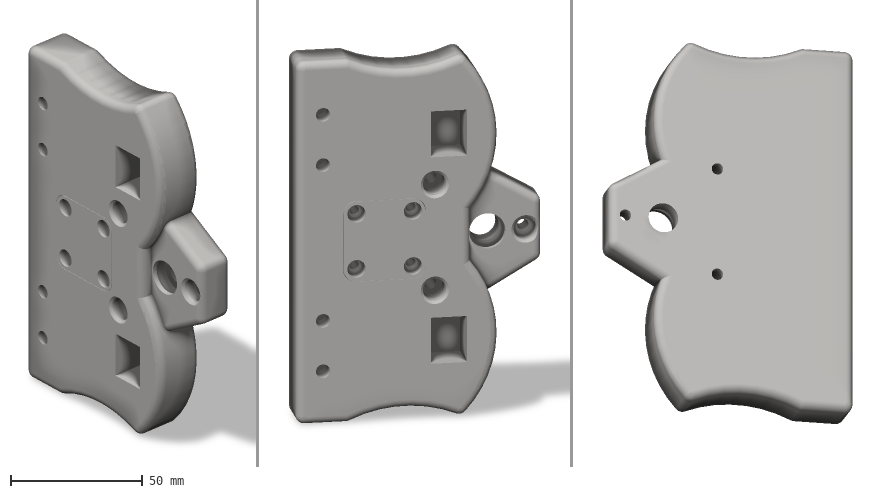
import cadquery as cq
import math


length = 144.0
half_length = length / 2
thickness = 20.0
edge_radius = 3.0
corner_radius = 3.2
straight_end_x = 20.0
corner_x = 64.0
scallop_x = (straight_end_x + corner_x) / 2
scallop_depth = 4.9
lobe_peak_x = 77.8
lobe_peak_z = 39.3
notch_x = 67.1
notch_half_height = 10.4

tab_thickness = 15.0
tab_tip_x = 95.5
tab_tip_half_height = 12.1
tab_flank_angle = 30.0
tab_root_half_height = (tab_tip_half_height
                        + (tab_tip_x - notch_x) * math.tan(math.radians(tab_flank_angle)))
tab_front_y = thickness - tab_thickness

bolt_diameter = 4.5
bolt_head_diameter = 9.0
housing_bolt_head_depth = 10.0
tab_bolt_head_depth = 6.0
bolt_mouth_chamfer = 1.0
housing_bolt_x = 53.4
housing_bolt_z = 21.0
tab_bolt_x = 89.4

rod_hole_x = 74.6
rod_hole_diameter = 11.5
rod_mouth_diameter = 14.0
rod_mouth_depth = 2.0
rod_chamber_diameter = 17.3
rod_chamber_end_y = tab_front_y + tab_thickness / 2

side_hole_x = 10.1
side_hole_diameter = 5.5
side_hole_depth = 10.0
side_hole_heights = (31.0, 51.0)

pocket_x = 58.9
pocket_z = 41.0
pocket_width = 14.0
pocket_height = 18.3
pocket_depth = 15.0

plate_x = 33.8
plate_size = 31.7
plate_clearance = 0.1
plate_thickness = 8.0
plate_corner_radius = 4.9
screw_x = 34.0
screw_spacing = 21.9
screw_head_diameter = 7.0
screw_head_depth = 4.9
screw_clearance_diameter = 3.7
screw_pilot_diameter = 3.5
screw_pilot_depth = 15.0


def front_plane(y):
    """Sketch plane at depth y, drawn in X and Z, whose extrusions run towards +Y."""
    return cq.Workplane(cq.Plane(origin=(0, y, 0), xDir=(1, 0, 0), normal=(0, 1, 0)))


def at(x, z):
    """Position on the front plane: its local second axis points to -Z."""
    return (x, -z)


def cylinder(x, z, diameter, start_y, end_y):
    return front_plane(start_y).pushPoints([at(x, z)]).circle(diameter / 2).extrude(end_y - start_y)


def cone_mouth(x, z, diameter, chamfer, start_y):
    """Countersink that opens a hole of the given diameter by a 45 degree chamfer at start_y."""
    radius = diameter / 2
    mouth = cq.Solid.makeCone(radius + chamfer, radius, chamfer,
                              pnt=cq.Vector(x, start_y, z), dir=cq.Vector(0, 1, 0))
    return cq.Workplane(obj=mouth)


def screw_positions():
    offset = screw_spacing / 2
    return [(screw_x + side * offset, end * offset) for side in (-1, 1) for end in (-1, 1)]


def main_block():
    scallop_z = half_length - scallop_depth
    block = (
        front_plane(0)
        .moveTo(*at(0, half_length))
        .lineTo(*at(straight_end_x, half_length))
        .threePointArc(at(scallop_x, scallop_z), at(corner_x, half_length))
        .threePointArc(at(lobe_peak_x, lobe_peak_z), at(notch_x, notch_half_height))
        .lineTo(*at(notch_x, -notch_half_height))
        .threePointArc(at(lobe_peak_x, -lobe_peak_z), at(corner_x, -half_length))
        .threePointArc(at(scallop_x, -scallop_z), at(straight_end_x, -half_length))
        .lineTo(*at(0, -half_length))
        .close()
        .extrude(thickness)
    )
    notch_corners = cq.selectors.BoxSelector(
        (notch_x - 1.5, 0, -half_length / 2), (notch_x + 1.5, thickness, half_length / 2))
    return block.edges(cq.selectors.SubtractSelector(
        cq.selectors.ParallelDirSelector(cq.Vector(0, 1, 0)), notch_corners)).fillet(corner_radius)


def tab():
    blank = (
        front_plane(tab_front_y)
        .polyline([
            at(notch_x - edge_radius, tab_root_half_height),
            at(notch_x, tab_root_half_height),
            at(tab_tip_x, tab_tip_half_height),
            at(tab_tip_x, -tab_tip_half_height),
            at(notch_x, -tab_root_half_height),
            at(notch_x - edge_radius, -tab_root_half_height),
        ])
        .close()
        .extrude(tab_thickness)
    )
    rounded = blank.edges("|Y and >X").fillet(corner_radius)
    return rounded.faces("<Y").edges("not <X").fillet(edge_radius)


def bolt_hole(x, z, face_y, head_depth):
    head_end = face_y + head_depth
    return (
        cylinder(x, z, bolt_head_diameter, face_y, head_end)
        .union(cylinder(x, z, bolt_diameter, face_y, thickness))
        .union(cone_mouth(x, z, bolt_head_diameter, bolt_mouth_chamfer, face_y))
    )


def rod_hole():
    mouth_end_y = tab_front_y + rod_mouth_depth
    return (
        cylinder(rod_hole_x, 0, rod_hole_diameter, tab_front_y, thickness)
        .union(cylinder(rod_hole_x, 0, rod_mouth_diameter, tab_front_y, mouth_end_y))
        .union(cylinder(rod_hole_x, 0, rod_chamber_diameter, mouth_end_y, rod_chamber_end_y))
    )


def pocket(z):
    return (front_plane(0).pushPoints([at(pocket_x, z)])
            .rect(pocket_width, pocket_height).extrude(pocket_depth))


def plate_outline(clearance):
    """Rounded square block of the plate, grown on all four sides by the clearance."""
    side = plate_size + 2 * clearance
    return (
        front_plane(0)
        .pushPoints([at(plate_x, 0)])
        .rect(side, side)
        .extrude(plate_thickness)
        .edges("|Y")
        .fillet(plate_corner_radius + clearance)
    )


def make_housing():
    body = main_block().union(tab())
    body = body.faces(">Y").edges().fillet(edge_radius)
    body = body.faces("<Y").edges().fillet(edge_radius)
    for side in (-1, 1):
        body = body.cut(bolt_hole(housing_bolt_x, side * housing_bolt_z, 0, housing_bolt_head_depth))
        body = body.cut(pocket(side * pocket_z))
        for height in side_hole_heights:
            body = body.cut(cylinder(side_hole_x, side * height, side_hole_diameter, 0, side_hole_depth))
    body = body.cut(bolt_hole(tab_bolt_x, 0, tab_front_y, tab_bolt_head_depth))
    body = body.cut(rod_hole())
    body = body.cut(plate_outline(plate_clearance))
    for x, z in screw_positions():
        body = body.cut(cylinder(x, z, screw_pilot_diameter, plate_thickness, screw_pilot_depth))
    return body


def make_plate():
    body = plate_outline(0)
    for x, z in screw_positions():
        body = body.cut(cylinder(x, z, screw_head_diameter, 0, screw_head_depth))
        body = body.cut(cylinder(x, z, screw_clearance_diameter, screw_head_depth, plate_thickness))
    return body


housing = make_housing()
plate = make_plate()
result = cq.Compound.makeCompound([housing.val(), plate.val()])